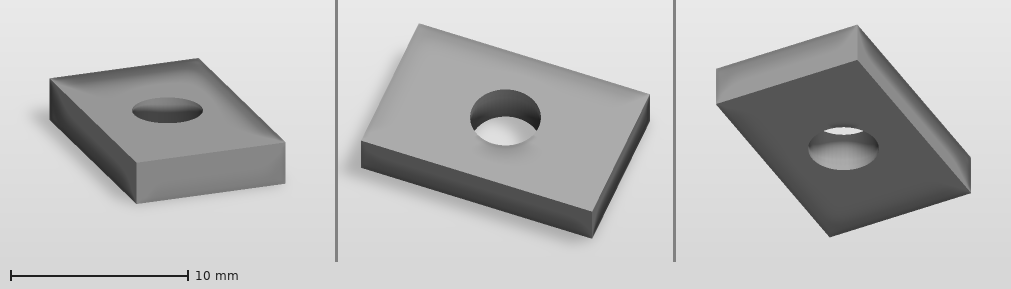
import cadquery as cq

length = 14.0
width = 9.0
thickness = 2.5

hole_diameter = 4.0

plate = cq.Workplane("XY").box(length, width, thickness)

result = plate.faces(">Z").workplane().hole(hole_diameter)